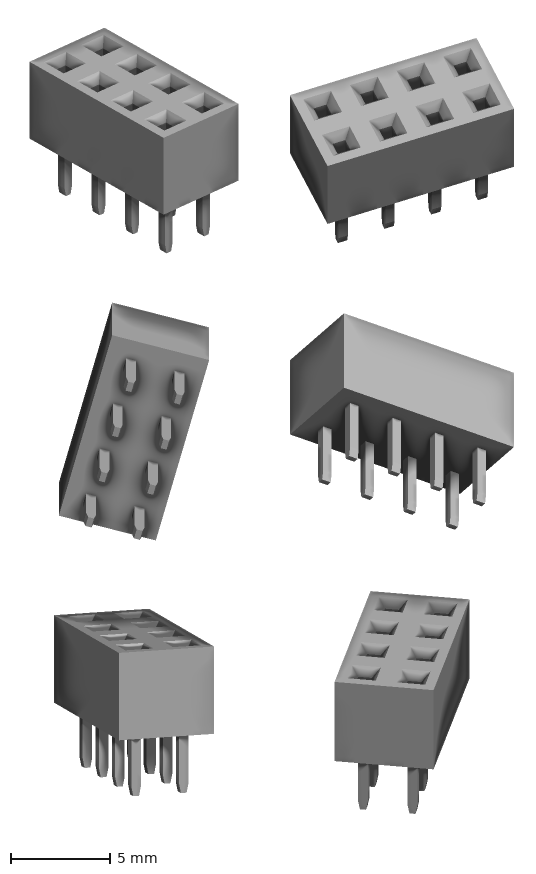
import cadquery as cq

columns = 4
rows = 2
pitch = 2.54
housing_length = columns * pitch
housing_width = rows * pitch
housing_height = 4.5
total_height = 7.65

socket_mouth = 1.5
socket_throat = 0.7
lead_in_depth = 0.45
throat_depth = 3.0

pin_side = 0.51
pin_tip_width = 0.3
pin_tip_length = 0.5
pin_length = total_height - housing_height

contact_places = [
    ((column - (columns - 1) / 2) * pitch, (row - (rows - 1) / 2) * pitch)
    for column in range(columns)
    for row in range(rows)
]


def make_housing():
    """Block standing on the plane Z = 0."""
    return cq.Workplane("XY").box(
        housing_length, housing_width, housing_height, centered=(True, True, False)
    )


def make_socket():
    """Solid to cut from the housing, centred on the Z axis."""
    lead_in = (
        cq.Workplane("XY", origin=(0, 0, housing_height))
        .rect(socket_mouth, socket_mouth)
        .workplane(offset=-lead_in_depth)
        .rect(socket_throat, socket_throat)
        .loft(ruled=True)
    )
    throat = (
        cq.Workplane("XY", origin=(0, 0, housing_height - lead_in_depth))
        .rect(socket_throat, socket_throat)
        .extrude(-throat_depth)
    )
    return lead_in.union(throat)


def make_pin():
    """Leg hanging below the plane Z = 0, centred on the Z axis."""
    half_side = pin_side / 2
    half_tip = pin_tip_width / 2
    shoulder = pin_tip_length - pin_length
    return (
        cq.Workplane("YZ")
        .polyline([
            (-half_side, 0),
            (-half_side, shoulder),
            (-half_tip, -pin_length),
            (half_tip, -pin_length),
            (half_side, shoulder),
            (half_side, 0),
        ])
        .close()
        .extrude(half_side, both=True)
    )


result = make_housing()
socket = make_socket()
pin = make_pin()
for x, y in contact_places:
    result = result.cut(socket.translate((x, y, 0)))
    result = result.union(pin.translate((x, y, 0)))